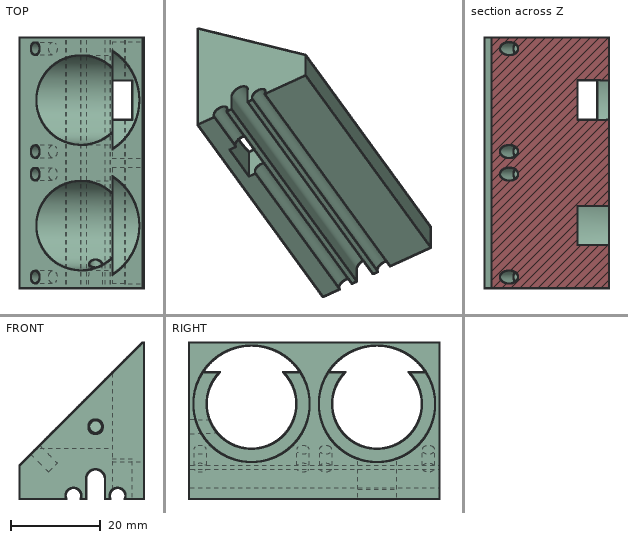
import cadquery as cq

depth = 27.85
length = 56.0
height = 35.0
front_height = 7.5
slope_run = height - front_height

bore_diameter = 20.0
counterbore_diameter = 26.0
counterbore_start = 20.85
bore_height = 21.3
bore_positions = (length / 4, 3 * length / 4)

screw_diameter = 2.8
screw_depth = 5.6
screw_x = 3.5
screw_offset = 11.5

channel_x = 16.995
slot_width = 4.15
slot_height = 6.65
groove_diameter = 3.5
groove_center_height = 0.8
groove_offset = 4.9
side_hole_mouth_diameter = 3.25
side_hole_inner_diameter = 2.8
side_hole_depth = 6.7
side_hole_height = 16.2

window_end = 25.15
window_width = 8.7


def cylinder_along(start, direction, diameter, reach):
    return cq.Workplane(
        cq.Solid.makeCylinder(diameter / 2, reach, cq.Vector(*start), cq.Vector(*direction))
    )


def wedge():
    return (
        cq.Workplane("XZ")
        .moveTo(0, 0)
        .lineTo(depth, 0)
        .lineTo(depth, height)
        .lineTo(slope_run, height)
        .lineTo(0, front_height)
        .close()
        .extrude(-length)
    )


def stepped_bore(y):
    bore = cylinder_along((0, y, bore_height), (1, 0, 0), bore_diameter, depth)
    counterbore = cylinder_along(
        (counterbore_start, y, bore_height), (1, 0, 0), counterbore_diameter, depth - counterbore_start
    )
    return bore.union(counterbore)


def screw_hole(y):
    clearance = screw_diameter
    shift = clearance / 2**0.5
    start = (screw_x - shift, y, front_height + screw_x + shift)
    return cylinder_along(start, (1, 0, -1), screw_diameter, screw_depth + clearance)


def underside_slot():
    arc_height = slot_height - slot_width / 2
    walls = cq.Workplane("XY").box(slot_width, length, arc_height, centered=(True, False, False))
    crown = cylinder_along((0, 0, arc_height), (0, 1, 0), slot_width, length)
    return walls.union(crown).translate((channel_x, 0, 0))


def underside_groove(x):
    return cylinder_along((x, 0, groove_center_height), (0, 1, 0), groove_diameter, length)


def window():
    size_x = window_end - counterbore_start
    block = cq.Workplane("XY").box(size_x, window_width, bore_height, centered=(False, True, False))
    return block.translate((counterbore_start, bore_positions[1], 0))


result = wedge()
for bore_y in bore_positions:
    result = result.cut(stepped_bore(bore_y))
    for side in (-1, 1):
        result = result.cut(screw_hole(bore_y + side * screw_offset))

result = result.cut(underside_slot())
for side in (-1, 1):
    result = result.cut(underside_groove(channel_x + side * groove_offset))

side_hole = cq.Workplane(
    cq.Solid.makeCone(
        side_hole_mouth_diameter / 2,
        side_hole_inner_diameter / 2,
        side_hole_depth,
        cq.Vector(channel_x, 0, side_hole_height),
        cq.Vector(0, 1, 0),
    )
)
result = result.cut(side_hole).cut(window())